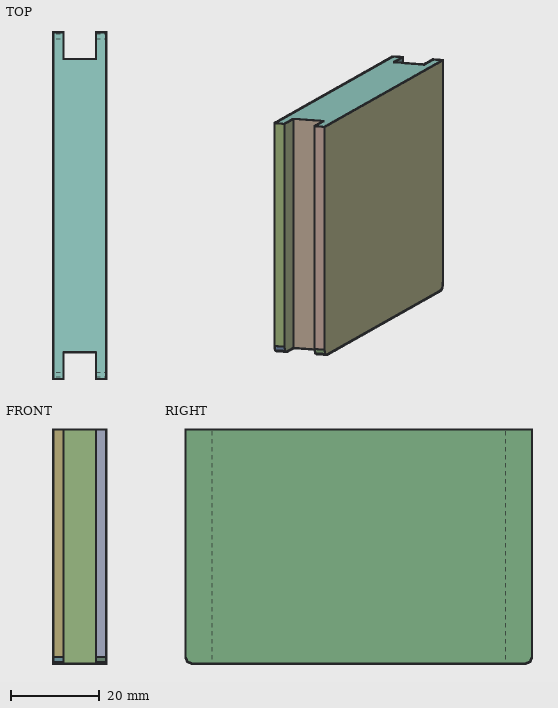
import cadquery as cq
import math

thickness = 12.0
length = 78.0
height = 52.7

wall = 2.4
groove_depth = 6.0
groove_width = thickness - 2 * wall

corner_radius = 1.5
facet_inset = corner_radius * (1 - math.cos(math.radians(45)))


def make_plate():
    """Upright plate, centred on the origin, with two-facet lower corners."""
    end_y = length / 2
    top_z = height / 2
    bottom_z = -height / 2
    right_half = [
        (end_y - corner_radius, bottom_z),
        (end_y - facet_inset, bottom_z + facet_inset),
        (end_y, bottom_z + corner_radius),
        (end_y, top_z),
    ]
    left_half = [(-y, z) for y, z in reversed(right_half)]
    outline = cq.Workplane("YZ").polyline(right_half + left_half).close()
    return outline.extrude(thickness / 2, both=True)


def make_groove(end):
    """Full-height groove volume at the +Y (end = 1) or -Y (end = -1) end."""
    groove_center_y = end * (length - groove_depth) / 2
    groove = cq.Workplane("XY").box(groove_width, groove_depth, height)
    return groove.translate((0, groove_center_y, 0))


result = make_plate()
for end in (-1, 1):
    result = result.cut(make_groove(end))